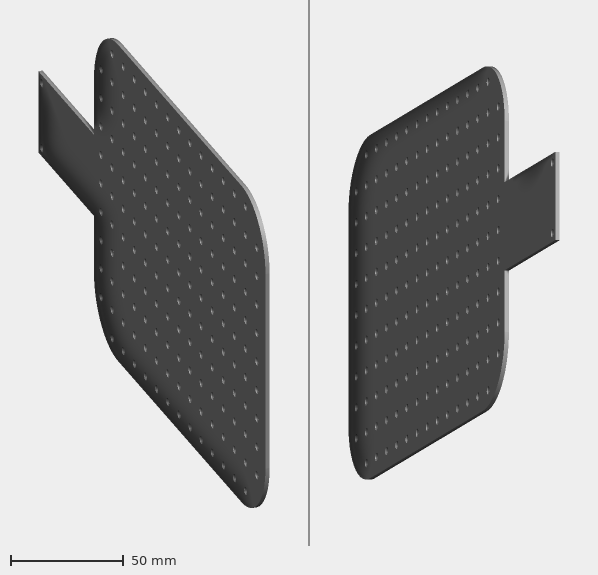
import cadquery as cq

total_length = 285.5
plate_height = 155.7
thickness = 2.0
corner_radius = 30.0
hole_diameter = 3.7

tab_length = 70.0
tab_height = 40.0
tab_hole_end_distance = 4.3
tab_hole_spacing = 32.0

first_column_offset = 8.9
hole_pitch = 14.0
hole_columns = 15
hole_rows = 11

plate_length = total_length - tab_length
plate_left = tab_length - total_length / 2
plate_center_x = plate_left + plate_length / 2


def upright_block(length, height, center_x):
    """Flat block of the sheet thickness, standing in the XZ plane."""
    return cq.Workplane("XY").box(length, thickness, height).translate((center_x, 0, 0))


def hole_cutters(points):
    """Cylinders along Y through the sheet at the given (x, z) points."""
    return (
        cq.Workplane("XZ")
        .pushPoints(points)
        .circle(hole_diameter / 2)
        .extrude(thickness, both=True)
    )


def grid_points():
    """Hole centres of the grid, leaving out the four rounded corners."""
    points = []
    for column in range(hole_columns):
        for row in range(hole_rows):
            at_end_column = column in (0, hole_columns - 1)
            at_end_row = row in (0, hole_rows - 1)
            if at_end_column and at_end_row:
                continue
            x = plate_left + first_column_offset + column * hole_pitch
            z = (row - (hole_rows - 1) / 2) * hole_pitch
            points.append((x, z))
    return points


plate = upright_block(plate_length, plate_height, plate_center_x).edges("|Y").fillet(corner_radius)
tab_overlap = plate_length / 2
tab_center_x = (-total_length / 2 + plate_left + tab_overlap) / 2
tab = upright_block(tab_length + tab_overlap, tab_height, tab_center_x)
body = plate.union(tab)

tab_hole_x = -total_length / 2 + tab_hole_end_distance
tab_hole_points = [(tab_hole_x, side * tab_hole_spacing / 2) for side in (-1, 1)]
body = body.cut(hole_cutters(grid_points()))
result = body.cut(hole_cutters(tab_hole_points))